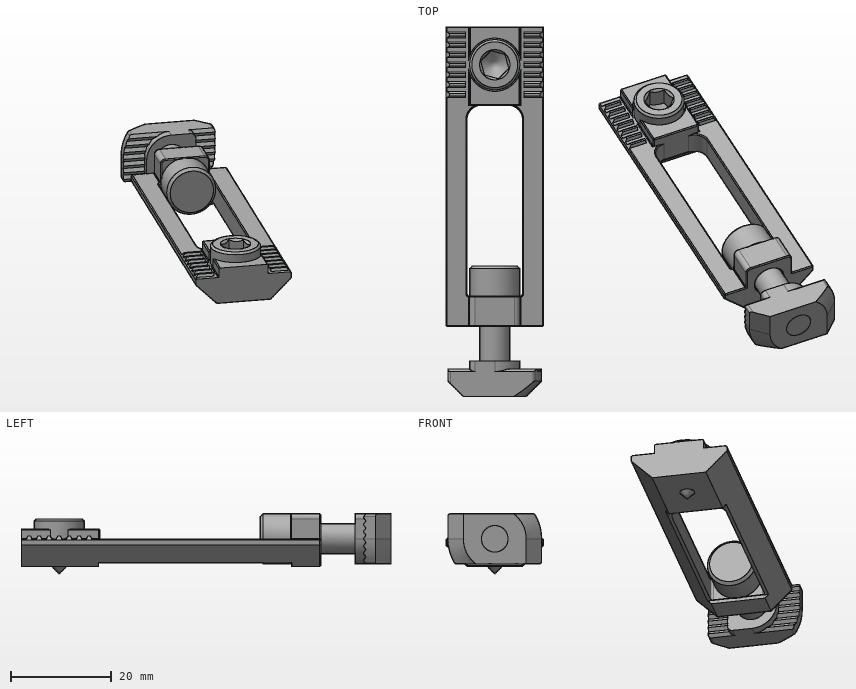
import cadquery as cq
import math


frame_length = 59.5
frame_width = 19.5
frame_bottom = -5.5
rail_side_height = 1.25
rail_bottom = -4.8
edge_chamfer = 0.2
foot_width = 0.2
foot_height = 0.1
slot_width = 11.0
slot_back_radius = 2.8
slot_front_radius = 0.5
block_width = 10.0
block_length = 15.6
block_top = 2.0
boss_length = 6.0
boss_top = 5.0
boss_radius = 1.0
seat_radius = 5.3

tooth_count = 7
tooth_pitch = 2.0
tooth_height = 0.5
tooth_base = 1.2
tooth_crest = 0.5
tooth_inner_x = 5.8

shank_radius = 3.0
head_radius = 5.0
bolt_head_length = 6.0
bolt_head_chamfer = 0.6
bolt_tip_radius = 2.65
point_screw_setback = 7.5
point_head_height = 4.0
point_head_chamfer = 0.45
point_tip_z = -7.0
socket_flats = 5.0
socket_depth = 3.7
socket_rim_radius = 3.0
socket_turn = 45.0
drill_point_angle = 118.0

nut_gap = 6.8
nut_height = 10.0
nut_reach = 9.3
nut_chamfer = 3.1
nut_edge_radius = 0.5
flange_length = 5.0
collar_length = 2.1
collar_edge_radius = 1.0
serration_count = 7
serration_depth = 0.5

frame_side = frame_width / 2
slot_side = slot_width / 2
block_side = block_width / 2
slot_back = frame_length - block_length
point_screw_y = frame_length - point_screw_setback
nut_half_height = nut_height / 2
nut_back = -nut_gap
serration_root = nut_back - collar_length
serration_tip = serration_root + serration_depth
nut_front = serration_root - flange_length


def box(x0, x1, y0, y1, z0, z1):
    return cq.Workplane("XY").box(x1 - x0, y1 - y0, z1 - z0, centered=False).translate((x0, y0, z0))


def edges_within(x, y0, y1, z0, z1):
    """Selector for edges lying wholly between -x and x, y0 and y1, z0 and z1."""
    return cq.selectors.BoxSelector((-x, y0, z0), (x, y1, z1), boundingbox=True)


def rod_along_y(radius, y0, y1):
    """Cylinder around the bolt axis, from y0 back to y1."""
    return cq.Workplane("XZ", origin=(0, y1, 0)).circle(radius).extrude(y1 - y0)


def revolve_about_z(outline):
    return cq.Workplane("XZ").polyline(outline).close().revolve(360, (0, 0), (0, 1))



def make_rails():
    """Bar with 45 degree flanks and a long slot that leaves a rail on each side."""
    flank_height = -rail_side_height - frame_bottom
    right_side = [
        (frame_side - edge_chamfer, 0),
        (frame_side, -edge_chamfer),
        (frame_side, -rail_side_height),
        (frame_side - flank_height, frame_bottom),
    ]
    left_side = [(-x, z) for x, z in reversed(right_side)]
    bar = cq.Workplane("XZ").polyline(right_side + left_side).close().extrude(-frame_length)

    slot = box(-slot_side, slot_side, boss_length, slot_back, frame_bottom, 0)
    slot = slot.edges("|Z and >Y").fillet(slot_back_radius)
    slot = slot.edges("|Z and <Y").fillet(slot_front_radius)
    margin = edge_chamfer / 2
    reach = slot_side + margin
    front = boss_length - margin
    back = slot_back + margin
    upper_rim = edges_within(reach, front, back, -margin, margin)
    relief_front = boss_length - edge_chamfer
    relief_back = slot_back + edge_chamfer
    relief = box(-frame_side, frame_side, relief_front, relief_back, frame_bottom, rail_bottom)
    return bar.cut(slot).edges(upper_rim).chamfer(edge_chamfer).cut(relief)


def make_block():
    """Raised pad at the back that carries the point screw."""
    block = box(-block_side, block_side, slot_back, frame_length, -rail_side_height, block_top)
    block = block.edges("(>Z and (<X or >X)) or (<Y and (not <Z))").chamfer(edge_chamfer)
    return block.union(make_foot(slot_back, frame_length))


def make_boss():
    """Round-shouldered lug at the front that carries the clamp bolt."""
    boss = box(-block_side, block_side, 0, boss_length, -rail_side_height, boss_top)
    boss = boss.edges("|Y and >Z").fillet(boss_radius)
    boss = boss.faces(">Y").edges("not <Z").chamfer(edge_chamfer)
    return boss.union(make_foot(0, boss_length - edge_chamfer))


def make_foot(y0, y1):
    """Small bevels where an upright wall meets the rails."""
    foot_side = block_side + foot_width
    outline = [(-foot_side, 0), (-block_side, foot_height), (block_side, foot_height), (foot_side, 0)]
    return cq.Workplane("XZ", origin=(0, y0, 0)).polyline(outline).close().extrude(y0 - y1)


def make_tooth(y):
    """Ridge across the right-hand rail, sloping down at its outer end."""
    outer_x = frame_side - edge_chamfer
    section = [
        (y - tooth_base / 2, 0),
        (y - tooth_crest / 2, tooth_height),
        (y + tooth_crest / 2, tooth_height),
        (y + tooth_base / 2, 0),
    ]
    length_profile = [
        (tooth_inner_x, 0),
        (tooth_inner_x, tooth_height),
        (outer_x - tooth_height, tooth_height),
        (outer_x, 0),
    ]
    ridge = cq.Workplane("YZ").polyline(section).close().extrude(outer_x)
    slope = cq.Workplane("XZ").polyline(length_profile).close().extrude(-frame_length)
    return ridge.intersect(slope)


def make_frame():
    frame = make_rails().union(make_block()).union(make_boss())
    frame = frame.cut(rod_along_y(shank_radius, 0, boss_length))
    frame = frame.faces("<Y").edges().chamfer(edge_chamfer)
    first_tooth_y = point_screw_y - (tooth_count - 1) / 2 * tooth_pitch
    for row in range(tooth_count):
        tooth = make_tooth(first_tooth_y + row * tooth_pitch)
        frame = frame.union(tooth).union(tooth.mirror("YZ"))
    head_seat = cq.Workplane("XY").center(0, point_screw_y).circle(seat_radius).extrude(block_top)
    return frame.cut(head_seat).cut(make_screw_blank())



def make_screw_blank():
    """Upright screw with a right-angled conical point, before the socket is cut."""
    blank = revolve_about_z([
        (0, point_tip_z),
        (shank_radius, point_tip_z + shank_radius),
        (shank_radius, 0),
        (head_radius, 0),
        (head_radius, point_head_height - point_head_chamfer),
        (head_radius - point_head_chamfer, point_head_height),
        (0, point_head_height),
    ])
    return blank.translate((0, point_screw_y, 0))


def make_socket():
    """Hexagon recess, opening at Z = 0, with a countersunk rim and a drill-point bottom."""
    inner_radius = socket_flats / 2
    corner_radius = inner_radius / math.cos(math.pi / 6)
    rim_depth = socket_rim_radius - inner_radius
    full_depth = socket_depth + socket_rim_radius / math.tan(math.radians(drill_point_angle / 2))
    hexagon = cq.Workplane("XY").polygon(6, 2 * corner_radius).extrude(-full_depth)
    hexagon = hexagon.rotate((0, 0, 0), (0, 0, 1), socket_turn)
    drill = revolve_about_z([
        (0, 0), (socket_rim_radius, 0), (socket_rim_radius, -socket_depth), (0, -full_depth),
    ])
    rim = revolve_about_z([(0, 0), (socket_rim_radius, 0), (inner_radius, -rim_depth), (0, -rim_depth)])
    return hexagon.intersect(drill).union(rim)


def make_point_screw():
    return make_screw_blank().cut(make_socket().translate((0, point_screw_y, point_head_height)))



def make_clamp_bolt():
    """Level bolt whose head bears on the boss and whose tip ends flush with the nut."""
    head_end = boss_length + bolt_head_length
    head = rod_along_y(head_radius, boss_length, head_end).faces(">Y").chamfer(bolt_head_chamfer)
    shank = rod_along_y(shank_radius, nut_back, boss_length)
    tip = rod_along_y(bolt_tip_radius, nut_front, nut_back)
    return head.union(shank).union(tip)



def make_flange():
    """Bevelled plate, square in two opposite quarters and round in the others so that it can twist."""
    plate = box(-nut_reach, nut_reach, nut_front, serration_tip, -nut_half_height, nut_half_height)
    upper_left = box(-nut_reach, 0, nut_front, serration_tip, 0, nut_half_height)
    lower_right = box(0, nut_reach, nut_front, serration_tip, -nut_half_height, 0)
    square_quarters = upper_left.union(lower_right)
    disc = rod_along_y(nut_reach, nut_front, serration_tip).faces("<Y").chamfer(nut_chamfer)
    bevelled_plate = plate.faces("<Y").edges("|Z").chamfer(nut_chamfer)
    flange = disc.intersect(plate).cut(square_quarters).union(bevelled_plate.intersect(square_quarters))
    return flange.edges("|Y").edges(">Z or <Z").fillet(nut_edge_radius)


def make_serration_groove(z):
    """V groove along the whole back of the flange, with its root at height z."""
    half_pitch = nut_height / serration_count / 2
    outline = [(serration_root, z), (serration_tip, z + half_pitch), (serration_tip, z - half_pitch)]
    groove = cq.Workplane("YZ", origin=(-nut_reach, 0, 0)).polyline(outline).close()
    return groove.extrude(2 * nut_reach)


def make_collar():
    """Square neck with one pair of opposite corners fully rounded and the other pair eased."""
    side = nut_half_height
    eased = side - collar_edge_radius
    outline = (
        cq.Workplane("XZ", origin=(0, nut_back, 0))
        .moveTo(0, side)
        .radiusArc((side, 0), side)
        .lineTo(side, -eased)
        .radiusArc((eased, -side), collar_edge_radius)
        .lineTo(0, -side)
        .radiusArc((-side, 0), side)
        .lineTo(-side, eased)
        .radiusArc((-eased, side), collar_edge_radius)
        .close()
    )
    return outline.extrude(collar_length)


def make_nut():
    flange = make_flange()
    for row in range(serration_count + 1):
        flange = flange.cut(make_serration_groove(-nut_half_height + row * nut_height / serration_count))
    return flange.union(make_collar()).cut(rod_along_y(bolt_tip_radius, nut_front, nut_back))


frame = make_frame()
point_screw = make_point_screw()
clamp_bolt = make_clamp_bolt()
hammer_nut = make_nut()
result = cq.Compound.makeCompound([frame.val(), point_screw.val(), clamp_bolt.val(), hammer_nut.val()])